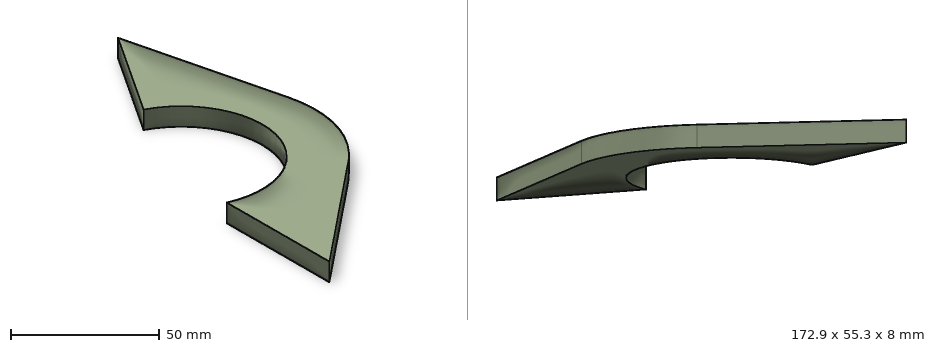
import cadquery as cq

thickness = 8.0
inner_radius = 35.6
end_height = 1.4

left_tip = (-85.4, 13.3)
right_tip = (87.5, 17.0)
crown_corner = (0, 64.1)
crown_radius = 49.5

half_opening = (inner_radius**2 - end_height**2) ** 0.5
left_end = (-half_opening, end_height)
right_end = (half_opening, end_height)

plate = (
    cq.Workplane("XY")
    .moveTo(*left_tip)
    .lineTo(*crown_corner)
    .lineTo(*right_tip)
    .lineTo(*right_end)
    .threePointArc((0, inner_radius), left_end)
    .close()
    .extrude(thickness)
)

result = plate.edges("|Z").edges(">Y").fillet(crown_radius)